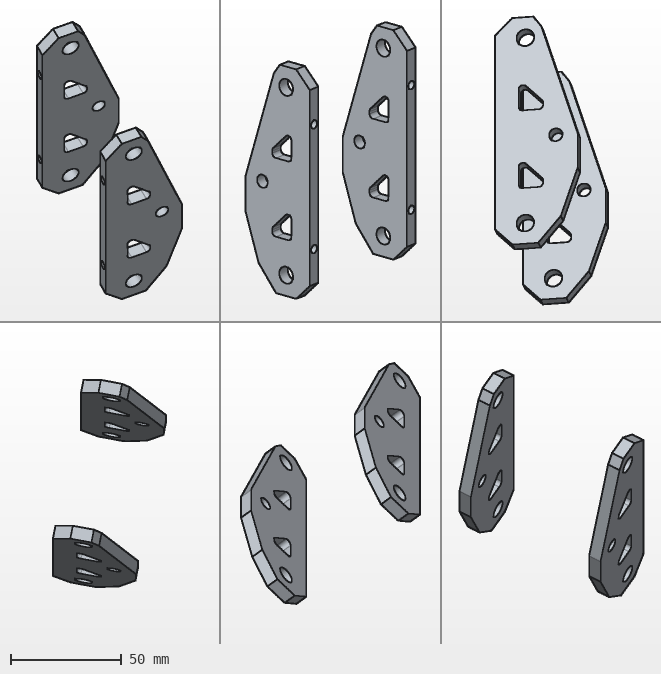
import cadquery as cq

plate_spacing = 68.0
plate_thickness = 6.0
plate_depth = 38.0
plate_height = 110.0

front_chamfer = 8.0
top_back_y = 17.7
shoulder_y, shoulder_z = 21.2, 105.2
back_top_z = 51.9
back_bottom_z = 35.1
heel_y, heel_z = 30.2, 12.2
bottom_back_y = 19.9

end_hole_diameter = 8.0
end_hole_y = 14.0
end_hole_inset = 10.0
middle_hole_diameter = 6.2
middle_hole_y = 27.9
middle_hole_z = 51.8

window_front_y = 10.9
window_length = 11.2
window_leg = 15.1
window_radius = 2.0
window_bottoms = (27.1, 64.8)

edge_hole_diameter = 4.0
edge_hole_depth = 10.0
edge_hole_heights = (25.0, 84.7)


def extrude_across(sketch):
    """Extrude a YZ sketch by the plate thickness, centred on X = 0."""
    return sketch.extrude(plate_thickness / 2, both=True)


def make_blank():
    return extrude_across(
        cq.Workplane("YZ").polyline([
            (front_chamfer, 0),
            (bottom_back_y, 0),
            (heel_y, heel_z),
            (plate_depth, back_bottom_z),
            (plate_depth, back_top_z),
            (shoulder_y, shoulder_z),
            (top_back_y, plate_height),
            (front_chamfer, plate_height),
            (0, plate_height - front_chamfer),
            (0, front_chamfer),
        ]).close()
    )


def make_cross_holes():
    end_heights = (end_hole_inset, plate_height - end_hole_inset)
    end_holes = extrude_across(
        cq.Workplane("YZ")
        .pushPoints([(end_hole_y, z) for z in end_heights])
        .circle(end_hole_diameter / 2)
    )
    middle_hole = extrude_across(
        cq.Workplane("YZ")
        .center(middle_hole_y, middle_hole_z)
        .circle(middle_hole_diameter / 2)
    )
    return end_holes.add(middle_hole).combine()


def make_window(bottom_z):
    back_y = window_front_y + window_length
    outline = cq.Workplane("YZ").polyline([
        (window_front_y, bottom_z),
        (back_y, bottom_z),
        (back_y, bottom_z + window_leg - window_length),
        (window_front_y, bottom_z + window_leg),
    ]).close()
    return extrude_across(outline).edges("|X").fillet(window_radius)


def make_edge_holes():
    return (
        cq.Workplane("XZ")
        .pushPoints([(0, z) for z in edge_hole_heights])
        .circle(edge_hole_diameter / 2)
        .extrude(-edge_hole_depth)
    )


def make_side_plate(centre_x):
    plate = make_blank().cut(make_cross_holes())
    for bottom_z in window_bottoms:
        plate = plate.cut(make_window(bottom_z))
    plate = plate.cut(make_edge_holes())
    return plate.translate((centre_x, 0, 0))


side_plates = []
for side in (-1, 1):
    side_plate = make_side_plate(side * plate_spacing / 2)
    side_plates.append(side_plate.solids().val())

result = cq.Compound.makeCompound(side_plates)